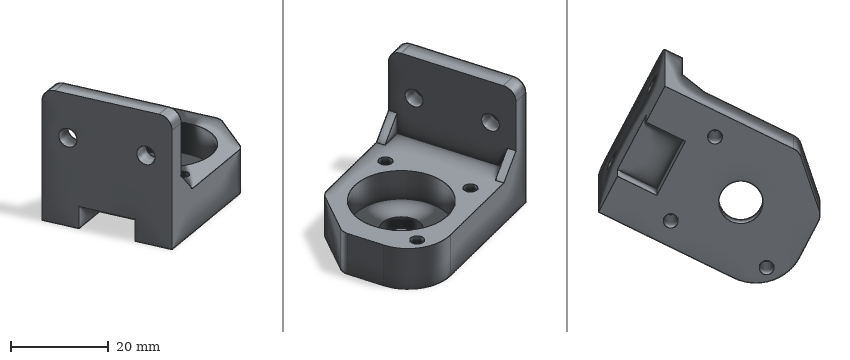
import cadquery as cq

width = 30.0
length = 41.0
height = 30.0

base_height = 10.0
large_corner_radius = 10.0
corner_chamfer = 10.25
small_corner_radius = 3.0

wall_thickness = 4.0
gusset_width = 2.0
gusset_leg = 5.0

seat_y = 25.0
seat_diameter = 22.0
seat_depth = 7.0
shaft_hole_diameter = 9.0

base_hole_diameter = 3.0
base_hole_offset_x = 10.0
base_hole_offset_y = 11.0
wall_hole_diameter = 4.2
wall_hole_spacing = 18.0
wall_hole_height = 20.0

notch_width = 12.9
notch_height = 5.0
notch_depth = wall_thickness + gusset_leg


def make_base():
    """Plate with one large round corner and one blunted corner at the back."""
    half = width / 2
    plate = (
        cq.Workplane("XY")
        .moveTo(-half, 0)
        .lineTo(half, 0)
        .lineTo(half, length - corner_chamfer)
        .lineTo(half - corner_chamfer, length)
        .lineTo(-half, length)
        .close()
        .extrude(base_height)
    )
    plate = plate.edges("|Z and <X and >Y").fillet(large_corner_radius)
    reach = corner_chamfer + small_corner_radius
    blunted_ends = cq.selectors.BoxSelector(
        (half - reach, length - reach, 0),
        (half + reach, length + reach, base_height),
    )
    return plate.edges("|Z").edges(blunted_ends).fillet(small_corner_radius)


def make_wall():
    """Upright front wall with rounded top corners."""
    wall = cq.Workplane("XY").box(width, wall_thickness, height, centered=(True, False, False))
    return wall.edges("|Y and >Z").fillet(small_corner_radius)


def make_gusset(left_x):
    """Short rib at one side, sloping from the wall down to the plate."""
    return (
        cq.Workplane("YZ", origin=(left_x, 0, 0))
        .moveTo(0, 0)
        .lineTo(wall_thickness + gusset_leg, 0)
        .lineTo(wall_thickness + gusset_leg, base_height)
        .lineTo(wall_thickness, base_height + gusset_leg)
        .lineTo(0, base_height + gusset_leg)
        .close()
        .extrude(gusset_width)
    )


def cut_bearing_seat(body):
    """Counterbored through hole in the plate."""
    return (
        body.copyWorkplane(cq.Workplane("XY", origin=(0, seat_y, base_height)))
        .cboreHole(shaft_hole_diameter, seat_diameter, seat_depth, base_height)
    )


def cut_base_holes(body):
    """Three screw holes around the seat; the blunted corner has none."""
    places = [
        (-base_hole_offset_x, base_hole_offset_y),
        (-base_hole_offset_x, -base_hole_offset_y),
        (base_hole_offset_x, -base_hole_offset_y),
    ]
    holes = (
        cq.Workplane("XY", origin=(0, seat_y, 0))
        .pushPoints(places)
        .circle(base_hole_diameter / 2)
        .extrude(base_height)
    )
    return body.cut(holes)


def cut_wall_holes(body):
    """Two screw holes through the wall."""
    holes = (
        cq.Workplane("XZ", origin=(0, 0, wall_hole_height))
        .rarray(wall_hole_spacing, 0.4, 2, 1)
        .circle(wall_hole_diameter / 2)
        .extrude(-wall_thickness)
    )
    return body.cut(holes)


def cut_notch(body):
    """Blind notch in the underside, open at the front."""
    notch = cq.Workplane("XY").box(
        notch_width, notch_depth, notch_height, centered=(True, False, False)
    )
    return body.cut(notch)


body = make_base().union(make_wall())
for left_x in (-width / 2, width / 2 - gusset_width):
    body = body.union(make_gusset(left_x))
body = cut_bearing_seat(body)
body = cut_base_holes(body)
body = cut_wall_holes(body)
result = cut_notch(body)